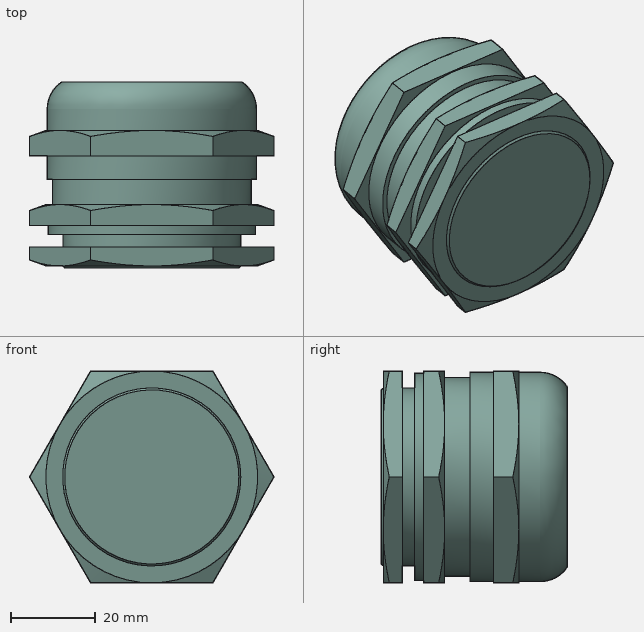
import cadquery as cq
import math

hex_corners = 57.75
hex_flats = hex_corners * math.cos(math.radians(30))
hex_bevel_angle = 20.0

thread_diameter = 42.0
thread_end_diameter = 41.1
collar_diameter = 49.0
body_diameter = 47.0
cap_diameter = 49.5
cap_end_diameter = 42.5

thread_chamfer_end = 0.5
locknut_start = 0.5
locknut_end = 5.0
collar_start = 7.9
body_hex_start = 10.05
body_hex_end = 15.0
cap_start = 20.95
cap_hex_start = 26.5
cap_hex_end = 32.5
dome_start = 37.5
total_length = 44.0


def dome_middle():
    """Middle point of the dome arc, which is tangent to the cap's side."""
    inset = (cap_diameter - cap_end_diameter) / 2
    height = total_length - dome_start
    arc_radius = (inset**2 + height**2) / (2 * inset)
    half_angle = math.asin(height / arc_radius) / 2
    radius = cap_diameter / 2 - arc_radius * (1 - math.cos(half_angle))
    return radius, dome_start + arc_radius * math.sin(half_angle)


def turned_core():
    """All the round stretches as one profile revolved about Y."""
    return (
        cq.Workplane("XY")
        .lineTo(thread_end_diameter / 2, 0)
        .lineTo(thread_diameter / 2, thread_chamfer_end)
        .lineTo(thread_diameter / 2, collar_start)
        .lineTo(collar_diameter / 2, collar_start)
        .lineTo(collar_diameter / 2, body_hex_start)
        .lineTo(body_diameter / 2, body_hex_start)
        .lineTo(body_diameter / 2, cap_start)
        .lineTo(cap_diameter / 2, cap_start)
        .lineTo(cap_diameter / 2, dome_start)
        .threePointArc(dome_middle(), (cap_end_diameter / 2, total_length))
        .lineTo(0, total_length)
        .close()
        .revolve(360, (0, 0), (0, 1))
    )


def hex_nut(start, end, bevel_at_start):
    """Hexagon with corners on X, its corners bevelled by a cone at one end."""
    prism = (
        cq.Workplane("XZ", origin=(0, start, 0))
        .polygon(6, hex_corners)
        .extrude(start - end)
    )
    corner_radius = hex_corners / 2
    flat_radius = hex_flats / 2
    bevel_depth = (corner_radius - flat_radius) * math.tan(math.radians(hex_bevel_angle))
    bevelled_face, plain_face = (start, end) if bevel_at_start else (end, start)
    inward = 1 if bevel_at_start else -1
    envelope = (
        cq.Workplane("XY")
        .moveTo(0, bevelled_face)
        .lineTo(flat_radius, bevelled_face)
        .lineTo(corner_radius, bevelled_face + inward * bevel_depth)
        .lineTo(corner_radius, plain_face)
        .lineTo(0, plain_face)
        .close()
        .revolve(360, (0, 0), (0, 1))
    )
    return prism.intersect(envelope)


result = (
    turned_core()
    .union(hex_nut(locknut_start, locknut_end, bevel_at_start=True))
    .union(hex_nut(body_hex_start, body_hex_end, bevel_at_start=False))
    .union(hex_nut(cap_hex_start, cap_hex_end, bevel_at_start=False))
)